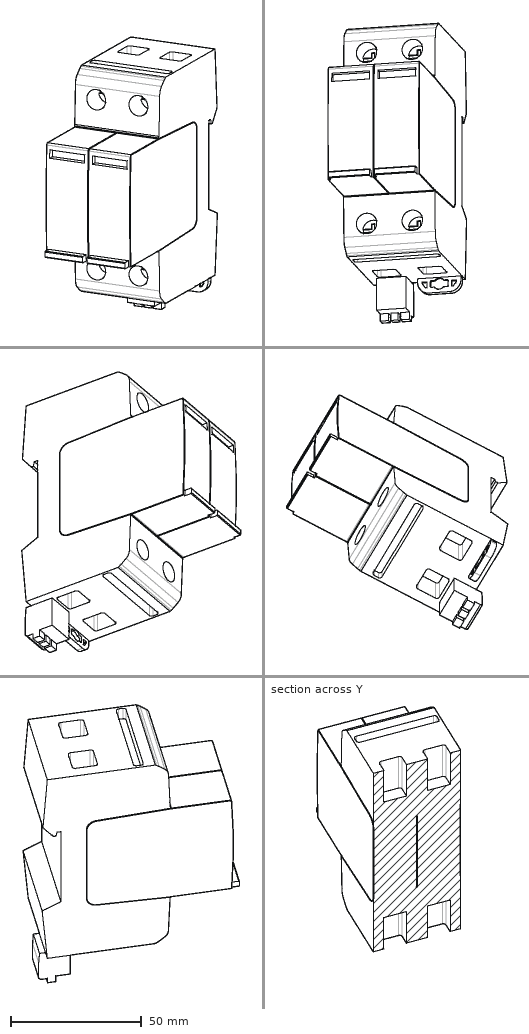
import cadquery as cq
import math


pole_width = 18.01
width = 2 * pole_width
half_height = 45.1
pole_centres = (-pole_width / 2, pole_width / 2)
ends = (1, -1)
back_end = 5.3
rail_hook = ((7.0, 21.1), (3.0, 16.1), (1.9, 16.1), (1.5, 18.0), (0, 18.0))
rail_seat = ((0, -17.4), (7.3, -20.8))
base_front = 42.7
base_front_end = 42.0
shoulder_start = 36.9
shoulder_bends = ((37.4, 0.3), (38.3, 1.0), (40.6, 2.7))
shoulder_drop = 6.3
shoulder_radius = 4.2
lip_reach = 0.3
lip_height = 1.0
lip_slope = 0.5

cartridge_mid = -0.3
cartridge_half = 22.4
cartridge_back = -10.0
cartridge_corner = 66.8
front_bulge = 0.6
taper_end = 43.3
taper_drop = 1.3
rear_radius = 4.0
edge_chamfer = 0.2
bevel_depth = 0.3
bevel_height = 0.8
label_width = 14.8
label_offset = 0.1
label_height = 3.3
label_mid = 17.8
label_depth = 2.1
handle_width = 16.1
handle_height = 2.5
handle_reach = 69.9
handle_chamfer = 0.3

screw_height = 33.9
screw_diameter = 8.0
screw_depth = 10.6
cross_long = 5.2
cross_width = 1.3
cross_depth = 1.1
wire_width = 9.3
wire_length = 9.8
wire_mid = -10.5
wire_depth = 15.8
vent_width = 33.9
vent_length = 3.8
vent_mid = -30.6
vent_depth = 5.3
opening_radius = 1.1

plug_left = -14.6
plug_width = 11.6
plug_front = -4.4
plug_back = 7.9
plug_back_top = 7.6
plug_bend = -49.7
plug_floor = -57.7
plug_rear_floor = -58.4
plug_bevel = 1.0
teeth_bottom = half_height - 105.6
teeth_front = 1.3
teeth_back = 4.4
notch_width = 1.0
notch_centres = (-10.8, -7.0)

tab_centre = pole_width / 2
tab_width = 17.1
tab_bottom = -51.0
tab_thickness = 2.6
tab_radius = 4.4
recess_mid = -47.5
recess_depth = 1.1
recess_circle = 4.4
recess_slot_width = 7.1
recess_slot_height = 2.6
recess_slot_radius = 0.5
side_recess = ((4.9, 1.0), (6.8, 1.0), (6.8, 0.4), (5.6, -1.3), (4.9, -1.3))


def cartridge_outline():
    """Side outline of a cartridge, tapered towards its rounded rear."""
    top = cartridge_mid + cartridge_half
    bottom = cartridge_mid - cartridge_half
    return (
        cq.Workplane("YZ")
        .moveTo(-cartridge_corner, bottom)
        .lineTo(-taper_end, bottom)
        .lineTo(cartridge_back, bottom + taper_drop)
        .lineTo(cartridge_back, top - taper_drop)
        .lineTo(-taper_end, top)
        .lineTo(bevel_depth - cartridge_corner, top)
        .lineTo(-cartridge_corner, top - bevel_height)
        .threePointArc((-cartridge_corner - front_bulge, cartridge_mid), (-cartridge_corner, bottom))
        .close()
    )


def cartridge_block(length):
    """Solid cartridge shape of the given length along X, starting at X = 0."""
    return cartridge_outline().extrude(length).edges("|X and >Y").fillet(rear_radius)


def cartridge(centre):
    """One-pole cartridge with a label recess and a pull handle at its foot."""
    block = cartridge_block(pole_width).translate((centre - pole_width / 2, 0, 0))
    block = block.faces("<X or >X").chamfer(edge_chamfer)
    label_centre = centre + math.copysign(label_offset, centre)
    label_recess = cq.Workplane("XY").box(
        label_width, label_depth + front_bulge, label_height, centered=(True, False, True)
    ).translate((label_centre, -cartridge_corner - front_bulge, label_mid))
    handle_bottom = cartridge_mid - cartridge_half
    handle = cq.Workplane("XY").box(
        handle_width, handle_reach - taper_end, handle_height, centered=(True, False, False)
    ).faces("<Y").edges("|X").chamfer(handle_chamfer)
    handle = handle.translate((centre, -handle_reach, handle_bottom))
    return block.cut(label_recess).union(handle)


def base():
    """Side outline with a hooked rail seat behind and rounded shoulders in front."""
    lip_top = cartridge_half + cartridge_mid + lip_height
    outline = cq.Workplane("YZ").moveTo(back_end, half_height)
    for y, z in rail_hook + rail_seat:
        outline = outline.lineTo(y, z)
    outline = (
        outline.lineTo(back_end, -half_height)
        .lineTo(-shoulder_start, -half_height)
    )
    for reach, drop in shoulder_bends:
        outline = outline.lineTo(-reach, drop - half_height)
    outline = (
        outline.radiusArc((-base_front_end, shoulder_drop - half_height), shoulder_radius)
        .lineTo(-base_front, -lip_top)
        .lineTo(-base_front - lip_reach, lip_slope - lip_top)
        .lineTo(-base_front - lip_reach, lip_top - lip_slope)
        .lineTo(-base_front, lip_top)
        .lineTo(-base_front_end, half_height - shoulder_drop)
    )
    far_reach, far_drop = shoulder_bends[-1]
    outline = outline.radiusArc((-far_reach, half_height - far_drop), shoulder_radius)
    for reach, drop in reversed(shoulder_bends[:-1]):
        outline = outline.lineTo(-reach, half_height - drop)
    outline = outline.lineTo(-shoulder_start, half_height).close()
    return outline.extrude(width).translate((-width / 2, 0, 0))


def screw_hole(x, z):
    """Screw shaft with a cross-recessed screw head at its floor."""
    floor = screw_depth - base_front
    shaft = cq.Workplane("XZ", origin=(x, floor, z)).circle(screw_diameter / 2).extrude(screw_depth)
    cross_face = cq.Workplane("XZ", origin=(x, floor + cross_depth, z))
    slot = cross_face.rect(screw_diameter, cross_width).extrude(cross_depth)
    slot = slot.intersect(shaft.translate((0, cross_depth, 0)))
    cross = cross_face.rect(cross_width, cross_long).extrude(cross_depth)
    return shaft.union(slot).union(cross)


def end_opening(x, y, length_x, length_y, depth, end):
    """Rounded blind opening sunk into the upper or lower end of the base."""
    opening = cq.Workplane("XY").box(length_x, length_y, depth).edges("|Z").fillet(opening_radius)
    return opening.translate((x, y, end * (half_height - depth / 2)))


def plug():
    """Signalling plug with a toothed key on its underside."""
    body = (
        cq.Workplane("YZ")
        .moveTo(plug_front, -half_height)
        .lineTo(plug_back_top, -half_height)
        .lineTo(plug_back, plug_bend)
        .lineTo(plug_back, plug_floor)
        .lineTo(plug_back - plug_bevel, plug_rear_floor)
        .lineTo(teeth_back, plug_rear_floor)
        .lineTo(teeth_back, teeth_bottom)
        .lineTo(teeth_front, teeth_bottom)
        .lineTo(teeth_front, plug_floor)
        .lineTo(plug_front, plug_floor)
        .close()
        .extrude(plug_width)
        .translate((plug_left, 0, 0))
    )
    for x in notch_centres:
        notch = cq.Workplane("XY").box(
            notch_width, teeth_back - teeth_front, plug_floor - teeth_bottom, centered=(True, False, False)
        )
        body = body.cut(notch.translate((x, teeth_front, teeth_bottom)))
    return body


def clip_tab():
    """Rounded pull tab of the rail clip with three shallow recesses."""
    height = -half_height - tab_bottom
    tab = cq.Workplane("XY").box(tab_width, tab_thickness, height, centered=(True, False, False))
    tab = tab.edges("|Y and <Z").fillet(tab_radius).translate((tab_centre, 0, tab_bottom))
    face = cq.Workplane("XZ", origin=(tab_centre, recess_depth, recess_mid))
    slot = face.rect(recess_slot_width, recess_slot_height).extrude(recess_depth)
    tab = tab.cut(slot.edges("|Y").fillet(recess_slot_radius))
    tab = tab.cut(face.circle(recess_circle / 2).extrude(recess_depth))
    for side in (1, -1):
        corners = [(side * x, z) for x, z in side_recess]
        tab = tab.cut(face.polyline(corners).close().extrude(recess_depth))
    return tab


result = base()
for end in ends:
    for x in pole_centres:
        result = result.cut(screw_hole(x, end * screw_height))
        result = result.cut(end_opening(x, wire_mid, wire_width, wire_length, wire_depth, end))
    result = result.cut(end_opening(0, vent_mid, vent_width, vent_length, vent_depth, end))

result = result.cut(cartridge_block(width).translate((-width / 2, 0, 0)))
for x in pole_centres:
    result = result.union(cartridge(x))
result = result.union(plug()).union(clip_tab())